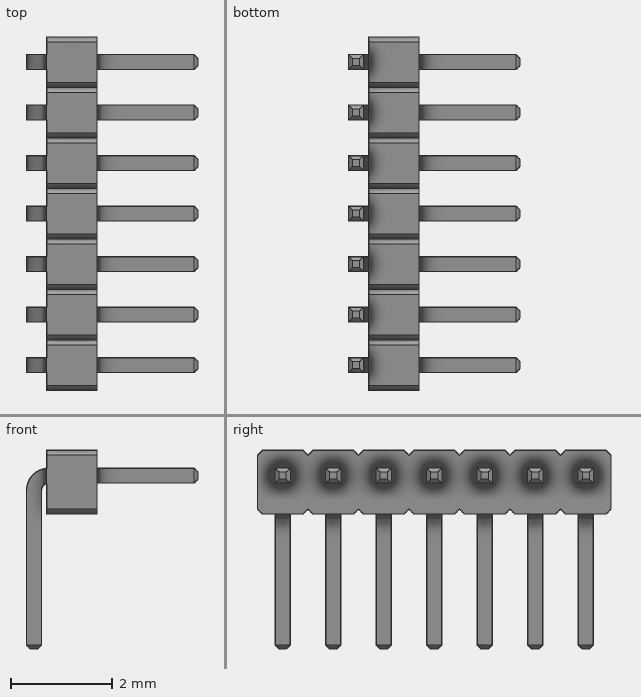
import cadquery as cq
import math

pin_count = 7
pitch = 1.0

body_depth = 1.0
body_height = 1.27
body_chamfer = 0.1

pin_width = 0.3
pin_drop = 0.505
body_gap = 0.4
contact_length = 2.0
total_height = 3.94
bend_inner_radius = 0.15
tip_chamfer = 0.08


half_pin = pin_width / 2
body_x = body_gap - half_pin
pin_axis_z = body_height - pin_drop
leg_end_z = body_height - total_height
contact_end_x = body_x + body_depth + contact_length
bend_axis_radius = bend_inner_radius + half_pin
tip_width = pin_width - 2 * tip_chamfer


def segment_center(index):
    """Y position of a body segment and its pin."""
    return (index - (pin_count - 1) / 2) * pitch


def body_segment(center_y):
    """One pin's share of the body, with its four edges along X chamfered."""
    return (
        cq.Workplane("XY")
        .box(body_depth, pitch, body_height, centered=(False, True, False))
        .edges("|X")
        .chamfer(body_chamfer)
        .translate((body_x, center_y, 0))
    )


def pin_tip(base, direction):
    """Tapered square pin end, starting at base and pointing along direction."""
    plane = cq.Plane(origin=base, xDir=(0, 1, 0), normal=direction)
    return (
        cq.Workplane(plane)
        .rect(pin_width, pin_width)
        .workplane(offset=tip_chamfer)
        .rect(tip_width, tip_width)
        .loft(ruled=True)
    )


def bent_pin(center_y):
    """Square pin: vertical leg, quarter-circle bend and horizontal leg, both ends tapered."""
    outer_radius = bend_inner_radius + pin_width
    leg_base_z = leg_end_z + tip_chamfer
    contact_base_x = contact_end_x - tip_chamfer
    bend_x = bend_axis_radius
    bend_z = pin_axis_z - bend_axis_radius
    diagonal = math.sqrt(0.5)
    outer_mid = (bend_x - outer_radius * diagonal, bend_z + outer_radius * diagonal)
    inner_mid = (bend_x - bend_inner_radius * diagonal, bend_z + bend_inner_radius * diagonal)

    shank = (
        cq.Workplane("XZ")
        .moveTo(-half_pin, leg_base_z)
        .lineTo(-half_pin, bend_z)
        .threePointArc(outer_mid, (bend_x, pin_axis_z + half_pin))
        .lineTo(contact_base_x, pin_axis_z + half_pin)
        .lineTo(contact_base_x, pin_axis_z - half_pin)
        .lineTo(bend_x, pin_axis_z - half_pin)
        .threePointArc(inner_mid, (half_pin, bend_z))
        .lineTo(half_pin, leg_base_z)
        .close()
        .extrude(half_pin, both=True)
    )
    lower_tip = pin_tip((0, 0, leg_base_z), (0, 0, -1))
    contact_tip = pin_tip((contact_base_x, 0, pin_axis_z), (1, 0, 0))
    return shank.union(lower_tip).union(contact_tip).translate((0, center_y, 0))


def header_body():
    """All body segments joined end to end into one bar, notched between the pins."""
    body = body_segment(segment_center(0))
    for index in range(1, pin_count):
        body = body.union(body_segment(segment_center(index)))
    return body.clean()


result = header_body()
for pin_index in range(pin_count):
    result = result.union(bent_pin(segment_center(pin_index)))